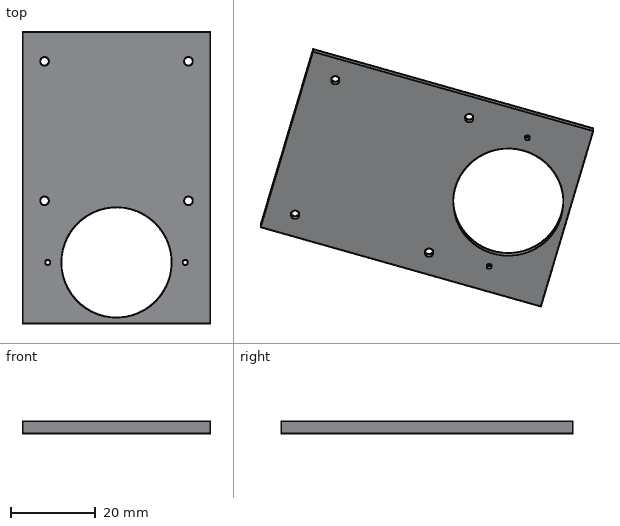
import cadquery as cq

width = 44.4
length = 69.0
thickness = 3.0

opening_diameter = 26.0
opening_to_front_edge = 14.5
opening_y = opening_to_front_edge - length / 2
side_hole_diameter = 1.2
side_hole_spacing = 32.5

mount_hole_diameter = 2.0
mount_spacing_x = 34.0
mount_spacing_y = 33.0
mount_to_back_edge = 7.0
mount_center_y = length / 2 - mount_to_back_edge - mount_spacing_y / 2

plate = cq.Workplane("XY").box(width, length, thickness)


def drill(body, points, diameter):
    """Cut a through hole at each point of the top face."""
    return body.faces(">Z").workplane(origin=(0, 0, 0)).pushPoints(points).hole(diameter)


mount_points = [
    (side_x * mount_spacing_x / 2, mount_center_y + side_y * mount_spacing_y / 2)
    for side_x in (-1, 1)
    for side_y in (-1, 1)
]
side_points = [(side_x * side_hole_spacing / 2, opening_y) for side_x in (-1, 1)]

result = drill(plate, [(0, opening_y)], opening_diameter)
result = drill(result, side_points, side_hole_diameter)
result = drill(result, mount_points, mount_hole_diameter)